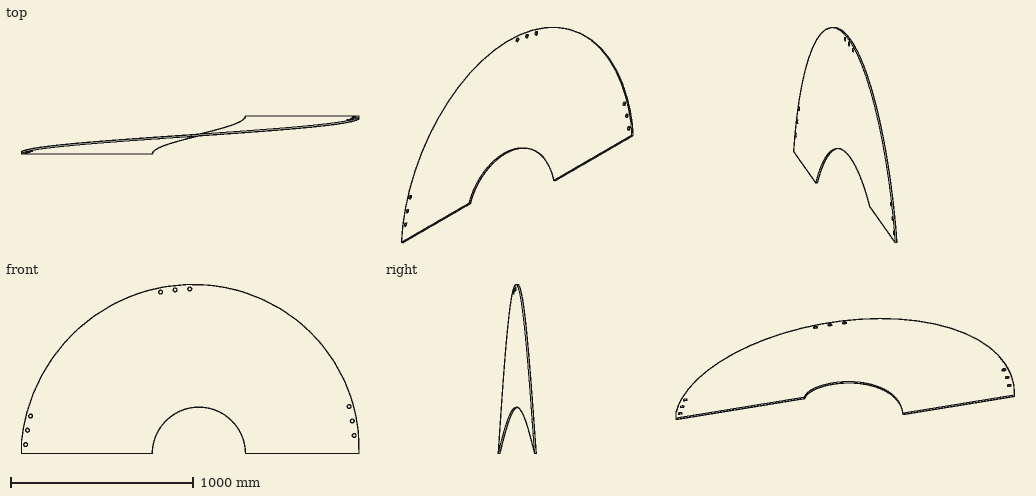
import cadquery as cq
import math

axial_advance = 200.0
thickness = 10.0
total_width = 1853.19
axis_x = 47.0
curve_samples = 60

bore_radius = 255.0
start_radius = 879.1
crest_radius = 928.65
radius_growth = 2 * (crest_radius - start_radius)

hole_diameter = 20.0
hole_inset = 25.0
hole_spacing = 80.0
holes_per_group = 3
start_group_offset = 100.0
group_offset = 50.0


def bore_edge_radius(angle):
    return bore_radius


def outer_edge_radius(angle):
    return start_radius + radius_growth * angle / math.pi


def helical_edge(radius_at):
    """Half-turn edge along the front (-Y) face, with its radius given as a function of angle."""

    def point(angle):
        radius = radius_at(angle)
        return (
            axis_x + radius * math.cos(angle),
            axial_advance * (0.5 - angle / math.pi) - thickness / 2,
            radius * math.sin(angle),
        )

    curve = cq.Workplane("XY").parametricCurve(
        point, N=curve_samples, start=0, stop=math.pi, makeWire=False
    )
    return curve.val()


def flight_plate():
    """Ruled helical face between the bore and outer edges, extruded along the axis."""
    front_face = cq.Face.makeRuledSurface(helical_edge(bore_edge_radius), helical_edge(outer_edge_radius))
    return cq.Workplane(obj=cq.Solid.extrudeLinear(front_face, cq.Vector(0, thickness, 0)))


def width_envelope():
    """Box that trims the tip of the -X end to a flat at the total width."""
    oversize = 2 * total_width
    return cq.Workplane("XY").box(oversize, oversize, oversize).translate(
        ((oversize - total_width) / 2, 0, 0)
    )


def hole_group(reference_angle, first_offset, direction):
    """Centres (x, z) of a row of holes stepping along the outer edge from a reference angle."""
    centres = []
    row_radius = outer_edge_radius(reference_angle) - hole_inset
    for index in range(holes_per_group):
        arc_length = first_offset + index * hole_spacing
        angle = reference_angle + direction * arc_length / row_radius
        radius = outer_edge_radius(angle) - hole_inset
        centres.append((axis_x + radius * math.cos(angle), radius * math.sin(angle)))
    return centres


def bolt_holes():
    start_angle = 0
    crest_angle = math.pi / 2
    end_angle = math.pi
    centres = hole_group(start_angle, start_group_offset, 1)
    centres += hole_group(crest_angle, group_offset, 1)
    centres += hole_group(end_angle, group_offset, -1)
    half_length = axial_advance / 2 + thickness
    return (
        cq.Workplane("XZ")
        .pushPoints(centres)
        .circle(hole_diameter / 2)
        .extrude(half_length, both=True)
    )


result = flight_plate().intersect(width_envelope()).cut(bolt_holes())